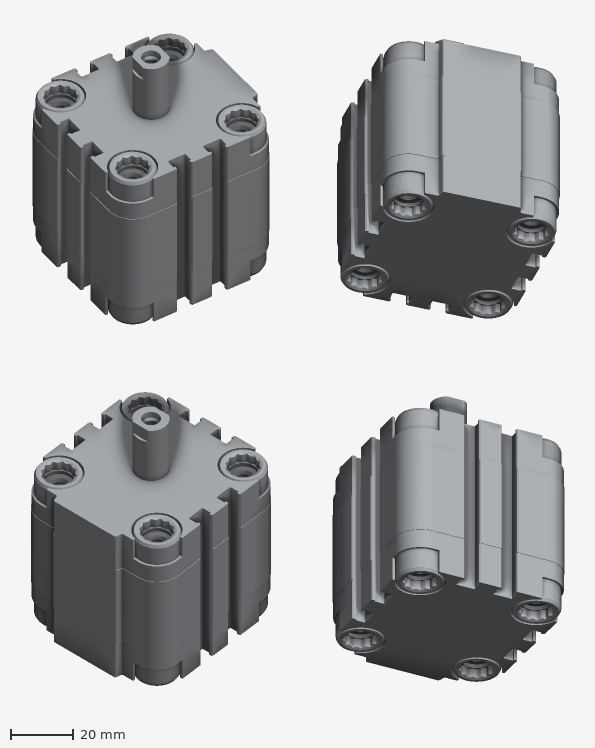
import cadquery as cq
import math

TOTAL_HEIGHT = 82.0
HOUSING_HEIGHT = 60.5
CAP_HEIGHT = 14.6

BARREL_HALF_WIDTH = 30.0
CAP_INSET = 0.2
CORNER_OFFSET = 21.0

RIDGE_TOP = 32.5
RIDGE_TOP_HALF_WIDTH = 13.45
RIDGE_FOOT_HALF_WIDTH = 14.1
RIDGE_FILLET = 0.7

SLOT_PITCH = 13.5
SLOT_FLOOR = 25.0
SLOT_LIP = 28.5
SLOT_HEAD_WIDTH = 6.8
SLOT_NECK_WIDTH = 5.4
SIDE_SLOT_FILLET = 0.4
SIDE_MOUTH_CHAMFER = 0.4
FRONT_MOUTH_CHAMFER = 0.3

POCKET_DEPTH = 8.0
POCKET_DIAMETER = 16.5
POCKET_EDGE = 18.6
BOSS_DIAMETER = 16.0
BOSS_CHAMFER_WIDTH = 0.6
BOSS_CHAMFER_HEIGHT = 1.1

SOCKET_BORE_DIAMETER = 10.1
SOCKET_MOUTH_DIAMETER = 12.8
SOCKET_FUNNEL_DEPTH = 0.65
SOCKET_SIDES = 6
SOCKET_STAR_DEPTH = 3.7
SOCKET_DEPTH = 5.1
SCREW_HOLE_DIAMETER = 4.9
SCREW_HOLE_MOUTH_DIAMETER = 6.6
SCREW_HOLE_MOUTH_DEPTH = 1.15

ROD_DIAMETER = 12.0
ROD_FLATS_WIDTH = 10.1
ROD_FLATS_HEIGHT = 4.75
ROD_COUNTERBORE_DIAMETER = 6.4
ROD_COUNTERBORE_DEPTH = 2.3
ROD_HOLE_DIAMETER = 4.9
ROD_HOLE_DEPTH = 19.7
DRILL_TIP_ANGLE = 118.0

BARREL_HEIGHT = HOUSING_HEIGHT - 2 * CAP_HEIGHT
BARREL_TOP = HOUSING_HEIGHT - CAP_HEIGHT

CORNERS = [(sx * CORNER_OFFSET, sy * CORNER_OFFSET) for sx in (-1, 1) for sy in (-1, 1)]

SECTIONS = [
    (CAP_INSET, 0, CAP_HEIGHT),
    (0, CAP_HEIGHT, BARREL_HEIGHT),
    (CAP_INSET, BARREL_TOP, CAP_HEIGHT),
]
SLOTTED_SIDES = [
    (0, SIDE_SLOT_FILLET, SIDE_MOUTH_CHAMFER),
    (180, SIDE_SLOT_FILLET, SIDE_MOUTH_CHAMFER),
    (-90, 0, FRONT_MOUTH_CHAMFER),
]


def housing_section(inset, bottom, height):
    """Rounded square slab with the ridge on its +Y side, with its sides set in by the inset."""
    half_width = BARREL_HALF_WIDTH - inset
    foot = RIDGE_FOOT_HALF_WIDTH - inset
    top = RIDGE_TOP_HALF_WIDTH - inset
    square = (
        cq.Workplane("XY", origin=(0, 0, bottom))
        .rect(2 * half_width, 2 * half_width)
        .extrude(height)
        .edges("|Z")
        .fillet(half_width - CORNER_OFFSET)
    )
    ridge = (
        cq.Workplane("XY", origin=(0, 0, bottom))
        .polyline([
            (-foot, 0),
            (foot, 0),
            (foot, half_width),
            (top, RIDGE_TOP),
            (-top, RIDGE_TOP),
            (-foot, half_width),
        ])
        .close()
        .extrude(height)
    )
    ridge_corners = cq.selectors.BoxSelector(
        (-foot - RIDGE_FILLET, half_width - RIDGE_FILLET, bottom),
        (foot + RIDGE_FILLET, RIDGE_TOP + RIDGE_FILLET, bottom + height),
    )
    return square.union(ridge).edges("|Z").edges(ridge_corners).fillet(RIDGE_FILLET)


def slot_cutter(inset, bottom, height, fillet, chamfer):
    """T-slot opening toward +X, on the centre line of the +X side."""
    half_width = BARREL_HALF_WIDTH - inset
    head = cq.Workplane("XY", origin=(0, 0, bottom)).center((SLOT_FLOOR + SLOT_LIP) / 2, 0)
    head = head.rect(SLOT_LIP - SLOT_FLOOR, SLOT_HEAD_WIDTH).extrude(height)
    if fillet:
        head = head.edges("|Z and <X").fillet(fillet)
    half_neck = SLOT_NECK_WIDTH / 2
    neck = (
        cq.Workplane("XY", origin=(0, 0, bottom))
        .polyline([
            (SLOT_FLOOR, -half_neck),
            (half_width - chamfer, -half_neck),
            (half_width, -half_neck - chamfer),
            (half_width, half_neck + chamfer),
            (half_width - chamfer, half_neck),
            (SLOT_FLOOR, half_neck),
        ])
        .close()
        .extrude(height)
    )
    return head.union(neck)


def corner_pocket():
    """Recess in a cap corner, cut from z = 0 up, for the corner at +X +Y."""
    reach = BARREL_HALF_WIDTH - POCKET_EDGE
    round_part = cq.Workplane("XY").center(CORNER_OFFSET, CORNER_OFFSET).circle(POCKET_DIAMETER / 2)
    open_part = cq.Workplane("XY").center(POCKET_EDGE, POCKET_EDGE).rect(reach, reach, centered=False)
    return round_part.extrude(POCKET_DEPTH).union(open_part.extrude(POCKET_DEPTH))


def corner_boss():
    """Chamfered round boss that stands in the corner pocket, with its free end at z = 0."""
    radius = BOSS_DIAMETER / 2
    profile = [
        (0, 0),
        (radius - BOSS_CHAMFER_WIDTH, 0),
        (radius, BOSS_CHAMFER_HEIGHT),
        (radius, POCKET_DEPTH),
        (0, POCKET_DEPTH),
    ]
    boss = cq.Workplane("XZ").polyline(profile).close().revolve(360, (0, 0), (0, 1))
    return boss.translate((CORNER_OFFSET, CORNER_OFFSET, 0))


def socket_star():
    """Twelve-point socket outline: two hexagons turned by 30 degrees, extruded from z = 0."""
    hexagon = cq.Workplane("XY").polygon(SOCKET_SIDES, SOCKET_BORE_DIAMETER, circumscribed=True)
    hexagon = hexagon.extrude(SOCKET_STAR_DEPTH)
    return hexagon.union(hexagon.rotate((0, 0, 0), (0, 0, 1), 180 / SOCKET_SIDES))


def screw_socket():
    """Funnel, twelve-point socket, round bore and hole chamfer, entered at z = 0."""
    bore = SOCKET_BORE_DIAMETER / 2
    bottom = SOCKET_DEPTH + SCREW_HOLE_MOUTH_DEPTH
    profile = [
        (0, 0),
        (SOCKET_MOUTH_DIAMETER / 2, 0),
        (bore, SOCKET_FUNNEL_DEPTH),
        (bore, SOCKET_DEPTH),
        (SCREW_HOLE_MOUTH_DIAMETER / 2, SOCKET_DEPTH),
        (SCREW_HOLE_DIAMETER / 2, bottom),
        (0, bottom),
    ]
    turned = cq.Workplane("XZ").polyline(profile).close().revolve(360, (0, 0), (0, 1))
    return turned.union(socket_star()).translate((CORNER_OFFSET, CORNER_OFFSET, 0))


def at_all_corners(feature):
    """Copies of a bottom +X +Y corner feature at all four corners of both ends."""
    copies = []
    for turn in range(4):
        bottom = feature.rotate((0, 0, 0), (0, 0, 1), 90 * turn)
        top = bottom.mirror("XY").translate((0, 0, HOUSING_HEIGHT))
        copies += [bottom, top]
    return copies


def make_housing():
    housing = cq.Workplane("XY")
    for inset, bottom, height in SECTIONS:
        section = housing_section(inset, bottom, height)
        for angle, fillet, chamfer in SLOTTED_SIDES:
            cutter = slot_cutter(inset, bottom, height, fillet, chamfer)
            for offset in (-SLOT_PITCH / 2, SLOT_PITCH / 2):
                slot = cutter.translate((0, offset, 0)).rotate((0, 0, 0), (0, 0, 1), angle)
                section = section.cut(slot)
        housing = housing.union(section)
    for pocket in at_all_corners(corner_pocket()):
        housing = housing.cut(pocket)
    for boss in at_all_corners(corner_boss()):
        housing = housing.union(boss)
    for socket in at_all_corners(screw_socket()):
        housing = housing.cut(socket)
    screw_holes = (
        cq.Workplane("XY").pushPoints(CORNERS).circle(SCREW_HOLE_DIAMETER / 2).extrude(HOUSING_HEIGHT)
    )
    rod_seat = (
        cq.Workplane("XY", origin=(0, 0, BARREL_TOP)).circle(ROD_DIAMETER / 2).extrude(CAP_HEIGHT)
    )
    return housing.cut(screw_holes).cut(rod_seat).clean()


def make_rod():
    """Rod seated through the top cap, with wrench flats and a drilled, counterbored end."""
    rod = cq.Workplane("XY", origin=(0, 0, BARREL_TOP)).circle(ROD_DIAMETER / 2)
    rod = rod.extrude(TOTAL_HEIGHT - BARREL_TOP)
    for side in (-1, 1):
        flat = cq.Workplane("XY").box(
            ROD_DIAMETER, ROD_DIAMETER, ROD_FLATS_HEIGHT, centered=(True, True, False)
        )
        flat_y = side * (ROD_FLATS_WIDTH + ROD_DIAMETER) / 2
        rod = rod.cut(flat.translate((0, flat_y, TOTAL_HEIGHT - ROD_FLATS_HEIGHT)))

    hole = ROD_HOLE_DIAMETER / 2
    counterbore = ROD_COUNTERBORE_DIAMETER / 2
    tip_length = hole / math.tan(math.radians(DRILL_TIP_ANGLE / 2))
    shoulder_depth = ROD_COUNTERBORE_DEPTH + counterbore - hole
    profile = [
        (0, TOTAL_HEIGHT),
        (counterbore, TOTAL_HEIGHT),
        (counterbore, TOTAL_HEIGHT - ROD_COUNTERBORE_DEPTH),
        (hole, TOTAL_HEIGHT - shoulder_depth),
        (hole, TOTAL_HEIGHT - ROD_HOLE_DEPTH + tip_length),
        (0, TOTAL_HEIGHT - ROD_HOLE_DEPTH),
    ]
    drilling = cq.Workplane("XZ").polyline(profile).close().revolve(360, (0, 0), (0, 1))
    return rod.cut(drilling)


housing = make_housing()
rod = make_rod()
result = cq.Compound.makeCompound([housing.val(), rod.val()])